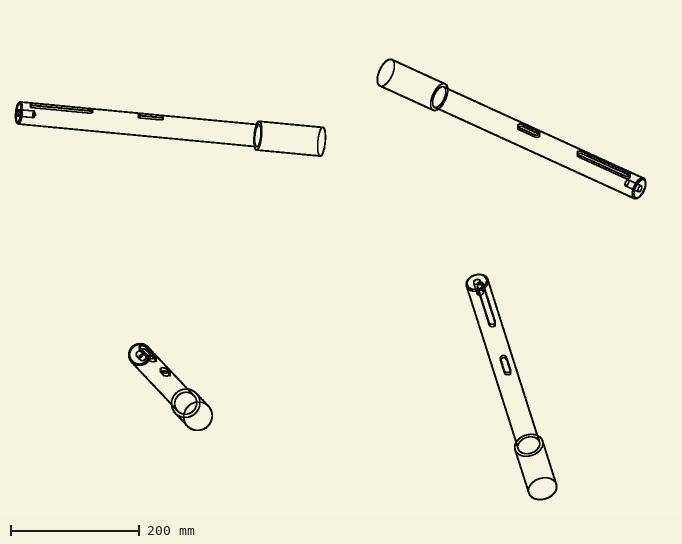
import cadquery as cq
import math

total_length = 490.0
shaft_length = 387.0
head_length = total_length - shaft_length
shaft_diameter = 35.0
head_diameter = 45.0
end_chamfer = 2.0

keyway_width = 10.0
keyway_depth = 5.0
long_keyway_start = 20.0
long_keyway_length = 100.0
short_keyway_start = 194.0
short_keyway_length = 40.0

hole_diameter = 10.5
hole_depth = 25.0
drill_tip_angle = 118.0

shaft_end = -total_length / 2
shoulder = shaft_end + shaft_length


def rod(start, length, diameter):
    """Solid cylinder along +X."""
    return cq.Workplane("YZ", origin=(start, 0, 0)).circle(diameter / 2).extrude(length)


def keyway(start, length):
    """Round-ended cutter whose floor lies keyway_depth below the shaft top."""
    floor = shaft_diameter / 2 - keyway_depth
    middle = shaft_end + start + length / 2
    return (
        cq.Workplane("XY", origin=(middle, 0, floor))
        .slot2D(length, keyway_width)
        .extrude(2 * keyway_depth)
    )


def end_hole():
    """Cylinder of full-diameter depth followed by the drill tip cone."""
    radius = hole_diameter / 2
    tip_depth = radius / math.tan(math.radians(drill_tip_angle / 2))
    half_profile = (
        cq.Workplane("XY", origin=(shaft_end, 0, 0))
        .lineTo(0, radius)
        .lineTo(hole_depth, radius)
        .lineTo(hole_depth + tip_depth, 0)
        .close()
    )
    return half_profile.revolve(360, (0, 0, 0), (1, 0, 0))


shaft = rod(shaft_end, shaft_length, shaft_diameter).faces("<X").chamfer(end_chamfer)
head = rod(shoulder, head_length, head_diameter)

result = (
    shaft.union(head)
    .cut(keyway(long_keyway_start, long_keyway_length))
    .cut(keyway(short_keyway_start, short_keyway_length))
    .cut(end_hole())
)